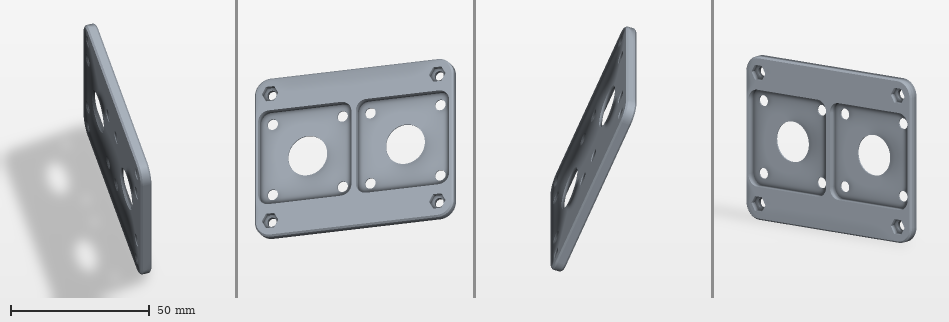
import cadquery as cq
import math

length = 76.0
thickness = 4.0
height = 60.2
front_y = -thickness / 2
back_y = thickness / 2
corner_radius = 6.0

edge_bevel_width = 0.6
edge_bevel_depth = 0.7
hole_bevel_width = 0.41
hole_bevel_depth = 0.45

pocket_side = 35.7
pocket_corner_radius = 4.0
web_thickness = 1.0

corner_hole_diameter = 3.5
corner_hole_x = 32.0
corner_hole_z = 24.2

nut_across_flats = 5.5
nut_recess_depth = 2.0

mount_hole_diameter = 4.0
mount_offset = 13.4

window_diameter = 15.0
window_x = 18.7
outer_mount_x = window_x + mount_offset
inner_mount_x = window_x - mount_offset


def mirrored(x, z):
    """Four points mirrored about both centre lines."""
    return [(sx * x, sz * z) for sx in (-1, 1) for sz in (-1, 1)]


def bevelled_hole(diameter, x, z):
    """Through-cutter along Y, flared by a bevel at the front face."""
    radius = diameter / 2
    profile = [
        (0, front_y),
        (radius + hole_bevel_width, front_y),
        (radius, front_y + hole_bevel_depth),
        (radius, back_y),
        (0, back_y),
    ]
    cutter = cq.Workplane("XY").polyline(profile).close().revolve(360, (0, 0), (0, 1))
    return cutter.translate((x, 0, z))


def back_pocket(x):
    """Round-cornered square cutter, open at the back face."""
    depth = thickness - web_thickness
    block = cq.Workplane("XY").box(pocket_side, depth, pocket_side)
    return block.edges("|Y").fillet(pocket_corner_radius).translate((x, back_y - depth / 2, 0))


def nut_recess(x, z):
    """Hexagonal cutter, open at the back face."""
    across_corners = nut_across_flats / math.cos(math.pi / 6)
    sketch = cq.Workplane("XZ", origin=(x, back_y, z)).polygon(6, across_corners)
    return sketch.extrude(nut_recess_depth)


plate = cq.Workplane("XY").box(length, thickness, height).edges("|Y").fillet(corner_radius)
for face in ("<Y", ">Y"):
    plate = plate.faces(face).edges().chamfer(edge_bevel_width, edge_bevel_depth)

for pocket_x in (-window_x, window_x):
    plate = plate.cut(back_pocket(pocket_x))

corner_points = mirrored(corner_hole_x, corner_hole_z)
mount_points = mirrored(outer_mount_x, mount_offset) + mirrored(inner_mount_x, mount_offset)
hole_groups = [
    (corner_hole_diameter, corner_points),
    (mount_hole_diameter, mount_points),
    (window_diameter, [(-window_x, 0), (window_x, 0)]),
]

for hole_diameter, centres in hole_groups:
    for hole_x, hole_z in centres:
        plate = plate.cut(bevelled_hole(hole_diameter, hole_x, hole_z))

for nut_x, nut_z in corner_points:
    plate = plate.cut(nut_recess(nut_x, nut_z))

result = plate